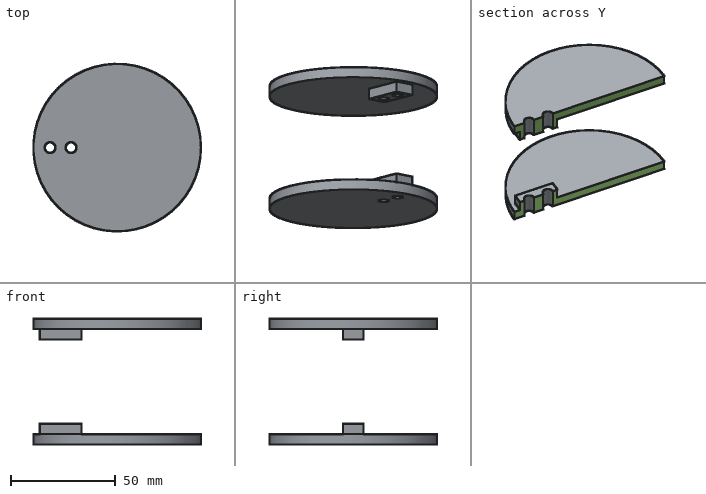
import cadquery as cq

disc_diameter = 80.0
overall_height = 60.0
block_length = 20.0
block_width = block_length / 2
outer_hole_x = -32.0

disc_thickness = block_width / 2
block_height = disc_thickness
hole_diameter = block_width / 2
hole_spacing = block_length / 2
inner_hole_x = outer_hole_x + hole_spacing
block_center_x = (outer_hole_x + inner_hole_x) / 2


def make_lower_plate():
    """Disc standing on z = 0 with a drilled mounting block on its upper face."""
    disc = cq.Workplane("XY").circle(disc_diameter / 2).extrude(disc_thickness)
    block = (
        cq.Workplane("XY", origin=(block_center_x, 0, disc_thickness))
        .rect(block_length, block_width)
        .extrude(block_height)
    )
    holes = (
        cq.Workplane("XY")
        .pushPoints([(outer_hole_x, 0), (inner_hole_x, 0)])
        .circle(hole_diameter / 2)
        .extrude(disc_thickness + block_height)
    )
    return disc.union(block).cut(holes)


def make_upper_plate():
    """Mirror image of the lower plate, with its block facing down."""
    return make_lower_plate().mirror("XY", (0, 0, overall_height / 2))


lower_plate = make_lower_plate()
upper_plate = make_upper_plate()

result = cq.Compound.makeCompound([lower_plate.val(), upper_plate.val()])